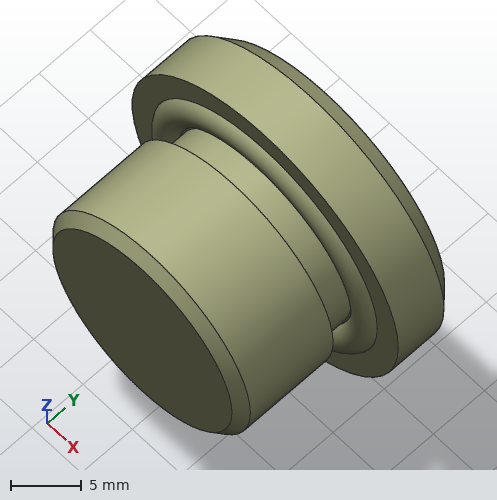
import cadquery as cq

total_length = 18.0
flange_diameter = 27
flange_thickness = 6.0
flange_chamfer = 1.5

stem_diameter = 20.0
stem_chamfer = 0.92
stem_length = total_length - flange_thickness

groove_diameter = 17.4
groove_width = 3.0

ring_section_radius = 1.4
ring_protrusion = 0.8
ring_center_radius = groove_diameter / 2 + ring_section_radius
ring_center_y = ring_section_radius - ring_protrusion


def revolve_about_y(profile):
    return profile.revolve(360, (0, 0, 0), (0, 1, 0))


def make_plug():
    flange_radius = flange_diameter / 2
    stem_radius = stem_diameter / 2
    groove_radius = groove_diameter / 2
    profile = (
        cq.Workplane("XY")
        .moveTo(0, -stem_length)
        .lineTo(stem_radius - stem_chamfer, -stem_length)
        .lineTo(stem_radius, -stem_length + stem_chamfer)
        .lineTo(stem_radius, -groove_width)
        .lineTo(groove_radius, -groove_width)
        .lineTo(groove_radius, 0)
        .lineTo(flange_radius, 0)
        .lineTo(flange_radius, flange_thickness - flange_chamfer)
        .lineTo(flange_radius - flange_chamfer, flange_thickness)
        .lineTo(0, flange_thickness)
        .close()
    )
    return revolve_about_y(profile)


def make_sealing_ring():
    section = (
        cq.Workplane("XY")
        .center(ring_center_radius, ring_center_y)
        .circle(ring_section_radius)
    )
    return section.revolve(360, (-ring_center_radius, 0, 0), (-ring_center_radius, 1, 0))


result = make_plug().union(make_sealing_ring())